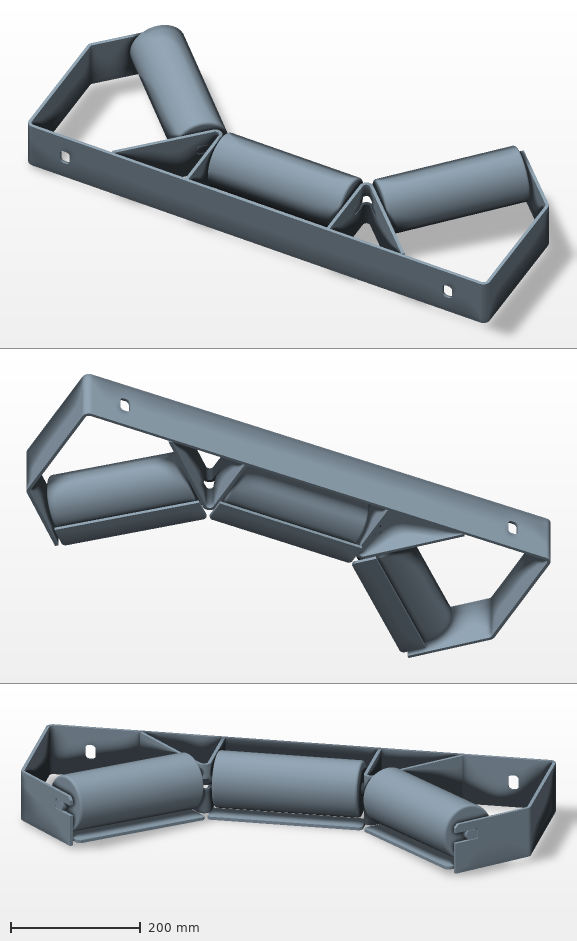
import cadquery as cq
import math

strip_width = 80.0
strip_thickness = 5.2
bend_radius = 11.0
touch = 0.1

frame_length = 800.0
frame_tip_y = 306.0
tip_chamfer = 6.0
mount_hole_x = 332.0
mount_hole_width = 17.0
mount_hole_height = 24.0
mount_hole_corner = 6.0

roller_diameter = 89.0
roller_length = 228.0
roller_edge_radius = 4.0
shaft_diameter = 20.0
shaft_length = 250.0
shoulder_length = 238.0
shaft_flat_height = 14.0
support_gap = 240.0

center_roller_y = 99.0
center_roller_z = 48.0
wing_x = 236.0
wing_y = 196.0
wing_z = 53.0
wing_angle = 45.0
wing_tilt = 2.4

slot_height = 17.0
slot_corner_radius = 2.0
slot_reach = 48.0

plate_reach = 122.0
wing_plate_outer_reach = 114.0
plate_width = 40.0
plate_thickness = 5.0
plate_chamfer = 4.0

axis_x = math.cos(math.radians(wing_angle))
axis_y = math.sin(math.radians(wing_angle))
across_x = -axis_y
across_y = axis_x

wing_center_along = wing_x * axis_x + wing_y * axis_y
bracket_face_along = wing_center_along - support_gap / 2
frame_face_along = wing_center_along + support_gap / 2
wing_center_across = wing_x * across_x + wing_y * across_y


def plan_point(along, across):
    """Point in plan given by its distances along and across the right-hand wing axis."""
    return (along * axis_x + across * across_x, along * axis_y + across * across_y)


def round_bend(strip, convex, concave):
    """Round the two upright edges of one bend, given as plan points."""
    for (x, y), radius in ((convex, bend_radius), (concave, bend_radius - strip_thickness)):
        low = (x - touch, y - touch, -touch)
        high = (x + touch, y + touch, strip_width + touch)
        strip = strip.edges(cq.selectors.BoxSelector(low, high, boundingbox=True)).fillet(radius)
    return strip


def mirrored(points):
    """The same plan points on the -X side, in reverse order."""
    return [(-x, y) for x, y in reversed(points)]


def shaft_slot(face_x, axis_at_y, axis_at_z):
    """Cutter for a slot across a strip at x = face_x, open towards +Y, with rounded closed corners."""
    closed_y = axis_at_y - shaft_diameter / 2
    return (
        cq.Workplane("XY")
        .box(4 * strip_thickness, slot_reach, slot_height, centered=(True, False, True))
        .edges("|X and <Y")
        .fillet(slot_corner_radius)
        .translate((face_x, closed_y, axis_at_z))
    )


def wing_slot(along):
    """Shaft slot in a strip that crosses the right-hand wing axis."""
    height = wing_z + (along - wing_center_along) * math.tan(math.radians(wing_tilt))
    return shaft_slot(along, wing_center_across, height).rotate((0, 0, 0), (0, 0, 1), wing_angle)


def make_frame():
    """Bent strip: straight base, two upright sides and two arms leaning in to the wing rollers."""
    half = frame_length / 2
    inner_half = half - strip_thickness
    outer_along = frame_face_along + strip_thickness
    tip_across = (frame_tip_y - outer_along * axis_y) / across_y
    outer_bend = (half, (outer_along - half * axis_x) / axis_y)
    inner_bend = (inner_half, (frame_face_along - inner_half * axis_x) / axis_y)
    outer_corner = (half, 0)
    inner_corner = (inner_half, strip_thickness)
    outer_side = [outer_corner, outer_bend, plan_point(outer_along, tip_across)]
    inner_side = [plan_point(frame_face_along, tip_across), inner_bend, inner_corner]
    right_side = outer_side + inner_side
    frame = cq.Workplane("XY").polyline(right_side + mirrored(right_side)).close().extrude(strip_width)

    for side in (1, -1):
        for outer, inner in ((outer_corner, inner_corner), (outer_bend, inner_bend)):
            frame = round_bend(frame, (side * outer[0], outer[1]), (side * inner[0], inner[1]))

    corner_cut = (
        cq.Workplane("XZ")
        .polyline([(0, 0), (-tip_chamfer, 0), (0, -tip_chamfer)])
        .close()
        .extrude(2 * strip_thickness, both=True)
        .rotate((0, 0, 0), (0, 0, 1), wing_angle + 90)
        .translate((*plan_point(outer_along, tip_across), strip_width))
    )
    mount_hole = (
        cq.Workplane("XY")
        .box(mount_hole_width, 4 * strip_thickness, mount_hole_height)
        .edges("|Y")
        .fillet(mount_hole_corner)
        .translate((mount_hole_x, 0, strip_width / 2))
    )
    for cutter in (corner_cut, mount_hole, wing_slot(frame_face_along + strip_thickness / 2)):
        frame = frame.cut(cutter).cut(cutter.mirror("YZ"))
    return frame


def make_bracket():
    """Right-hand bracket: a leg for the center roller bent over into an arm for the wing roller."""
    leg_face = support_gap / 2
    leg_back = leg_face + strip_thickness
    back_along = bracket_face_along - strip_thickness
    convex = (leg_face, (bracket_face_along - leg_face * axis_x) / axis_y)
    concave = (leg_back, (back_along - leg_back * axis_x) / axis_y)
    end_across = (strip_thickness - back_along * axis_y) / across_y
    outline = [
        (leg_face, strip_thickness),
        convex,
        plan_point(bracket_face_along, end_across),
        plan_point(back_along, end_across),
        concave,
        (leg_back, strip_thickness),
    ]
    bracket = cq.Workplane("XY").polyline(outline).close().extrude(strip_width)
    bracket = round_bend(bracket, convex, concave)
    leg_slot = shaft_slot(leg_face + strip_thickness / 2, center_roller_y, center_roller_z)
    return bracket.cut(leg_slot).cut(wing_slot(bracket_face_along - strip_thickness / 2))


def make_roller():
    """Roller along X about the origin, with shaft ends flattened above and below."""
    barrel = (
        cq.Workplane("YZ")
        .workplane(offset=-roller_length / 2)
        .circle(roller_diameter / 2)
        .extrude(roller_length)
        .faces("<X or >X")
        .edges()
        .fillet(roller_edge_radius)
    )
    shaft = cq.Workplane("YZ").circle(shaft_diameter / 2).extrude(shoulder_length / 2, both=True)
    flat_bar = cq.Workplane("XY").box(shaft_length, shaft_diameter, shaft_flat_height)
    shaft_ends = cq.Workplane("YZ").circle(shaft_diameter / 2).extrude(shaft_length / 2, both=True)
    return barrel.union(shaft).union(shaft_ends.intersect(flat_bar))


def make_plate(left_reach, right_reach):
    """Guard plate below a roller whose axis is X: from the axis towards the barrel's +Y side."""
    return (
        cq.Workplane("XY")
        .box(left_reach + right_reach, plate_width, plate_thickness, centered=False)
        .edges("|Z and >Y")
        .chamfer(plate_chamfer)
        .translate((-left_reach, 0, -center_roller_z - plate_thickness))
    )


def at_center(body):
    """Move a body from the origin to the center roller's place."""
    return body.translate((0, center_roller_y, center_roller_z))


def at_right_wing(body):
    """Tilt, turn and move a body from the origin to the right-hand wing roller's place."""
    tilted = body.rotate((0, 0, 0), (0, 1, 0), -wing_tilt)
    turned = tilted.rotate((0, 0, 0), (0, 0, 1), wing_angle)
    return turned.translate((wing_x, wing_y, wing_z))


def with_mirror_image(body):
    """A right-hand body and its left-hand mirror image."""
    return [body, body.mirror("YZ")]


frame = make_frame()
brackets = with_mirror_image(make_bracket())
roller = make_roller()
rollers = [at_center(roller), *with_mirror_image(at_right_wing(roller))]
center_plate = make_plate(plate_reach, plate_reach)
wing_plate = make_plate(plate_reach, wing_plate_outer_reach)
plates = [at_center(center_plate), *with_mirror_image(at_right_wing(wing_plate))]

bodies = [frame, *brackets, *rollers, *plates]
result = cq.Compound.makeCompound([body.solids().val() for body in bodies])